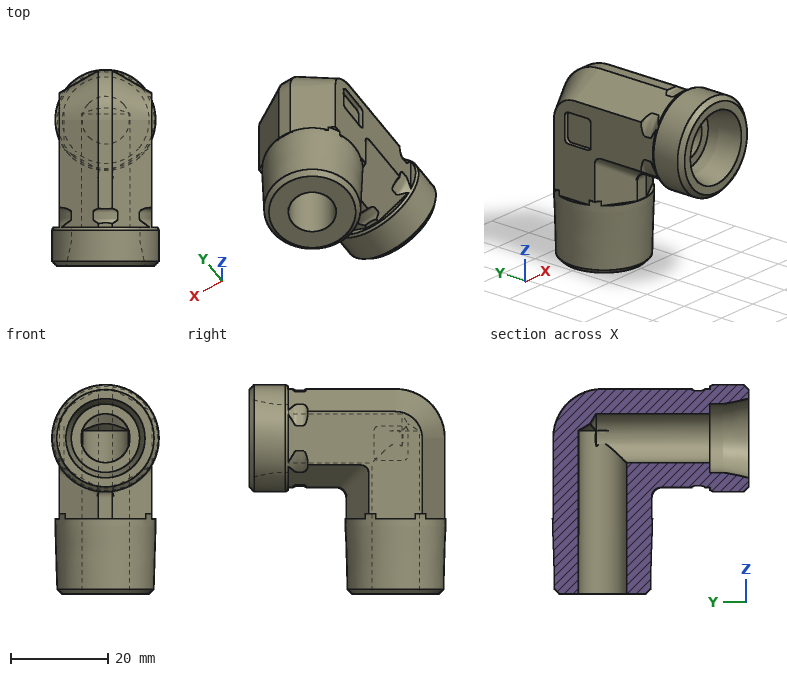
import cadquery as cq
import math


total_height = 43.0
full_turn = 360

across_flats = 19.0
flat_distance = 10.15
half_width = across_flats / 2
hexagon_half_angle = math.radians(30)
corner_radius = half_width / math.cos(hexagon_half_angle)
side_corner = corner_radius * math.sin(hexagon_half_angle)
flat_half_width = (corner_radius - flat_distance) / math.tan(hexagon_half_angle)
inner_fillet = 2.0

collar_diameter = 22.0
collar_radius = collar_diameter / 2
collar_end = 30.0
collar_back = 22.0
collar_end_chamfer = 1.05

groove_radius = 9.85
groove_start = 17.97
groove_floor_end = 20.35
groove_corner_radius = 1.0
groove_ramp_angle = math.radians(30)

thread_diameter = 20.65
thread_radius = thread_diameter / 2
thread_shoulder = 16.55
thread_straight_end = 18.0
thread_taper_end = 30.95
thread_taper_end_radius = 9.95
thread_length = total_height - collar_radius
thread_end_chamfer = thread_length - thread_taper_end
corner_trim_start = 15.52

tube_bore_diameter = 10.0
tube_bore_overrun = 1.3
thread_bore_diameter = 9.8
thread_bore_overrun = 1.55
drill_half_angle = math.radians(59)

socket_diameter = 14.0
socket_mouth_diameter = 16.25
socket_depth = 8.0
socket_half_angle = math.radians(12)

recess_size = 7.0
recess_corner_radius = 1.0
recess_offset = 1.0
recess_depth = 1.0

tool_clearance = 2.15


def turn_about_y(points):
    """Closed (radius, distance) profile turned about the tube leg axis."""
    profile = [(radius, -distance) for radius, distance in points]
    return cq.Workplane("XY").polyline(profile).close().revolve(full_turn, (0, 0), (0, 1))


def turn_about_z(points):
    """Closed (radius, distance) profile turned about the thread leg axis."""
    profile = [(radius, -distance) for radius, distance in points]
    return cq.Workplane("XZ").polyline(profile).close().revolve(full_turn, (0, 0), (0, 1))


def drill_points(diameter, start, overrun):
    """Half profile of a drilled hole that runs past the origin by overrun."""
    radius = diameter / 2
    tip = overrun + radius / math.tan(drill_half_angle)
    return [(0, start), (radius, start), (radius, -overrun), (0, -tip)]


def make_body():
    upper_half = [
        (-half_width, 0),
        (-half_width, side_corner),
        (-flat_half_width, flat_distance),
        (flat_half_width, flat_distance),
        (half_width, side_corner),
        (half_width, 0),
    ]
    lower_half = [(-x, -height) for x, height in upper_half[1:-1]]
    section = upper_half + lower_half

    tube_leg = cq.Workplane("XZ").polyline(section).close().extrude(collar_back)
    thread_leg = cq.Workplane("XY").polyline(section).close().extrude(-thread_shoulder)
    bend = cq.Workplane("XY").polyline(upper_half).close().revolve(full_turn, (0, 0), (1, 0))
    body = tube_leg.union(thread_leg).union(bend)

    mitre_edges = cq.selectors.BoxSelector(
        (-half_width, -corner_radius, -corner_radius),
        (half_width, -side_corner, -side_corner),
    )
    return body.edges(mitre_edges).fillet(inner_fillet)


def make_corner_trim():
    """Ring that turns the body corners down to the thread diameter."""
    outer = corner_radius + tool_clearance
    return turn_about_z([
        (thread_radius, corner_trim_start),
        (outer, corner_trim_start),
        (outer, thread_shoulder),
        (thread_radius, thread_shoulder),
    ])


def make_groove():
    """Ring whose conical run-out also bevels the back edge of the collar."""
    outer = corner_radius + tool_clearance
    wall_foot = groove_radius + groove_corner_radius
    floor_start = groove_start + groove_corner_radius
    diagonal = groove_corner_radius * math.sin(math.radians(45))
    ramp_start_radius = wall_foot - groove_corner_radius * math.cos(groove_ramp_angle)
    ramp_start = groove_floor_end + groove_corner_radius * math.sin(groove_ramp_angle)
    ramp_end = ramp_start + (outer - ramp_start_radius) / math.tan(groove_ramp_angle)
    half_ramp_angle = groove_ramp_angle / 2
    ramp_arc_middle = (
        wall_foot - groove_corner_radius * math.cos(half_ramp_angle),
        -groove_floor_end - groove_corner_radius * math.sin(half_ramp_angle),
    )
    return (
        cq.Workplane("XY")
        .moveTo(outer, -groove_start)
        .lineTo(wall_foot, -groove_start)
        .threePointArc((wall_foot - diagonal, -floor_start + diagonal), (groove_radius, -floor_start))
        .lineTo(groove_radius, -groove_floor_end)
        .threePointArc(ramp_arc_middle, (ramp_start_radius, -ramp_start))
        .lineTo(outer, -ramp_end)
        .close()
        .revolve(full_turn, (0, 0), (0, 1))
    )


def make_collar():
    return turn_about_y([
        (0, collar_back),
        (collar_radius, collar_back),
        (collar_radius, collar_end - collar_end_chamfer),
        (collar_radius - collar_end_chamfer, collar_end),
        (0, collar_end),
    ])


def make_thread():
    return turn_about_z([
        (0, thread_shoulder),
        (thread_radius, thread_shoulder),
        (thread_radius, thread_straight_end),
        (thread_taper_end_radius, thread_taper_end),
        (thread_taper_end_radius - thread_end_chamfer, thread_length),
        (0, thread_length),
    ])


def make_socket():
    socket_radius = socket_diameter / 2
    mouth_radius = socket_mouth_diameter / 2
    taper_length = (mouth_radius - socket_radius) / math.tan(socket_half_angle)
    return turn_about_y([
        (0, collar_end),
        (mouth_radius, collar_end),
        (socket_radius, collar_end - taper_length),
        (socket_radius, collar_end - socket_depth),
        (0, collar_end - socket_depth),
    ])


def make_recess():
    return (
        cq.Workplane("YZ", origin=(-half_width, -recess_offset, -recess_offset))
        .rect(recess_size, recess_size)
        .extrude(recess_depth)
        .edges("|X")
        .fillet(recess_corner_radius)
    )


tube_side = make_body().union(make_collar()).cut(make_groove())
outside = tube_side.cut(make_corner_trim()).union(make_thread())
tube_bore = turn_about_y(drill_points(tube_bore_diameter, collar_end, tube_bore_overrun))
thread_bore = turn_about_z(drill_points(thread_bore_diameter, thread_length, thread_bore_overrun))
result = outside.cut(make_socket()).cut(tube_bore).cut(thread_bore).cut(make_recess())